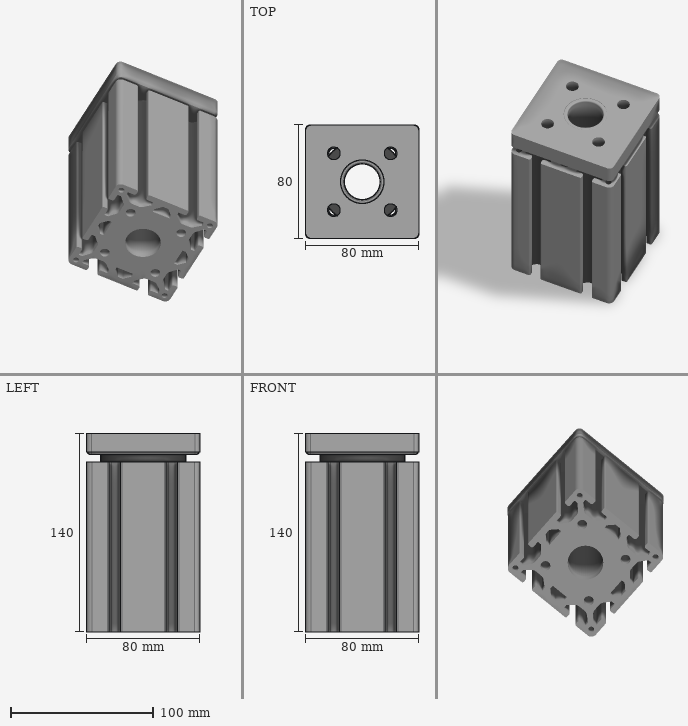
import cadquery as cq
import math

side = 80.0
profile_height = 120.0
disc_height = 5.0
plate_height = 15.0
total_height = profile_height + disc_height + plate_height

profile_corner_radius = 4.0
cell_offset = side / 4
core_hole_diameter = 6.9
corner_hole_diameter = 4.2
corner_hole_offset = 35.0

slot_neck_width = 8.0
slot_edge_radius = 1.1
lip_thickness = 4.5
lip_inner_radius = 1.4
slot_chamber_width = 20.0
slot_depth = 12.5
slot_floor_width = 4.8
floor_corner_radius = 4.9
flank_angle = math.radians(42)

pocket_outer_width = 4.0
pocket_inner_width = 13.0
pocket_outer_depth = 4.9
pocket_inner_depth = 12.0

plate_corner_radius = 3.5
plate_chamfer = 2.0
plate_hole_diameter = 9.0
disc_diameter = 59.9
disc_edge_rounding = 0.4
tube_outer_diameter = 30.7
tube_bore_diameter = 25.0
tube_bore_rounding = 1.0
tube_rim_rounding = 0.4

cell_centers = [(x, y) for x in (-cell_offset, cell_offset) for y in (-cell_offset, cell_offset)]


def bore(body, diameter):
    """Cut a hole along Z through the middle of a body."""
    cutter = cq.Workplane("XY").circle(diameter / 2).extrude(total_height)
    return body.cut(cutter)


def slot_cutter():
    """T-slot along Z, open to -Y and centred on X = 0; its mouth lies in the face at -side / 2."""
    face = -side / 2
    neck = slot_neck_width / 2
    chamber = slot_chamber_width / 2
    floor = slot_floor_width / 2
    lip = face + lip_thickness
    floor_y = face + slot_depth

    def floor_corner(angle):
        x = floor + floor_corner_radius * math.sin(angle)
        y = floor_y - floor_corner_radius * (1 - math.cos(angle))
        return x, y

    def quarter_middle(center_x, center_y, radius, direction):
        reach = radius * math.sqrt(0.5)
        return center_x - reach, center_y + direction * reach

    mouth_middle = quarter_middle(neck + slot_edge_radius, face + slot_edge_radius, slot_edge_radius, -1)
    lip_middle = quarter_middle(neck + lip_inner_radius, lip - lip_inner_radius, lip_inner_radius, 1)
    flank_start = floor_corner(flank_angle)
    flank_end_y = flank_start[1] - (chamber - flank_start[0]) * math.tan(flank_angle)

    half = (
        cq.Workplane("XY")
        .moveTo(0, face)
        .lineTo(neck + slot_edge_radius, face)
        .threePointArc(mouth_middle, (neck, face + slot_edge_radius))
        .lineTo(neck, lip - lip_inner_radius)
        .threePointArc(lip_middle, (neck + lip_inner_radius, lip))
        .lineTo(chamber, lip)
        .lineTo(chamber, flank_end_y)
        .lineTo(*flank_start)
        .threePointArc(floor_corner(flank_angle / 2), (floor, floor_y))
        .lineTo(0, floor_y)
        .close()
        .extrude(profile_height)
    )
    return half.union(half.mirror("YZ"))


def pocket_cutter():
    """Closed pocket along Z behind the middle of the -Y face, with 45 degree outer corners."""
    outer = pocket_outer_width / 2
    inner = pocket_inner_width / 2
    outer_y = -side / 2 + pocket_outer_depth
    shoulder_y = outer_y + inner - outer
    inner_y = -side / 2 + pocket_inner_depth
    outline = [
        (-outer, outer_y),
        (outer, outer_y),
        (inner, shoulder_y),
        (inner, inner_y),
        (-inner, inner_y),
        (-inner, shoulder_y),
    ]
    return cq.Workplane("XY").polyline(outline).close().extrude(profile_height)


def make_profile():
    """Grooved square profile with two T-slots on every face."""
    body = cq.Workplane("XY").rect(side, side).extrude(profile_height)
    body = body.edges("|Z").fillet(profile_corner_radius)

    slot = slot_cutter()
    pocket = pocket_cutter()
    for angle in (0, 90, 180, 270):
        for x in (-cell_offset, cell_offset):
            body = body.cut(slot.translate((x, 0, 0)).rotate((0, 0, 0), (0, 0, 1), angle))
        body = body.cut(pocket.rotate((0, 0, 0), (0, 0, 1), angle))

    corner_spacing = 2 * corner_hole_offset
    core_holes = (
        cq.Workplane("XY").pushPoints(cell_centers).circle(core_hole_diameter / 2).extrude(profile_height)
    )
    corner_holes = (
        cq.Workplane("XY")
        .rect(corner_spacing, corner_spacing, forConstruction=True)
        .vertices()
        .circle(corner_hole_diameter / 2)
        .extrude(profile_height)
    )
    return bore(body.cut(core_holes).cut(corner_holes), tube_bore_diameter)


def make_disc():
    """Round spacer with rounded edges between profile and plate, with a hole for the tube."""
    body = cq.Workplane("XY").workplane(offset=profile_height).circle(disc_diameter / 2).extrude(disc_height)
    body = body.edges().fillet(disc_edge_rounding)
    return bore(body, tube_outer_diameter)


def make_plate():
    """Square top plate, chamfered below, with a hole above each profile cell."""
    plate_bottom = profile_height + disc_height
    body = cq.Workplane("XY").workplane(offset=plate_bottom).rect(side, side).extrude(plate_height)
    body = body.edges("|Z").fillet(plate_corner_radius)
    body = body.faces("<Z").chamfer(plate_chamfer)
    holes = (
        cq.Workplane("XY")
        .workplane(offset=plate_bottom)
        .pushPoints(cell_centers)
        .circle(plate_hole_diameter / 2)
        .extrude(plate_height)
    )
    return bore(body.cut(holes), tube_outer_diameter)


def make_tube():
    """Tube through plate and disc, standing on the profile, with rounded rims at the top."""
    length = disc_height + plate_height
    body = (
        cq.Workplane("XY")
        .workplane(offset=profile_height)
        .circle(tube_outer_diameter / 2)
        .circle(tube_bore_diameter / 2)
        .extrude(length)
    )
    bore_rim = cq.selectors.RadiusNthSelector(0)
    outer_rim = cq.selectors.RadiusNthSelector(-1)
    body = body.faces(">Z").edges(bore_rim).fillet(tube_bore_rounding)
    return body.faces(">Z").edges(outer_rim).fillet(tube_rim_rounding)


profile = make_profile()
disc = make_disc()
plate = make_plate()
tube = make_tube()

result = cq.Compound.makeCompound([profile.val(), disc.val(), plate.val(), tube.val()])